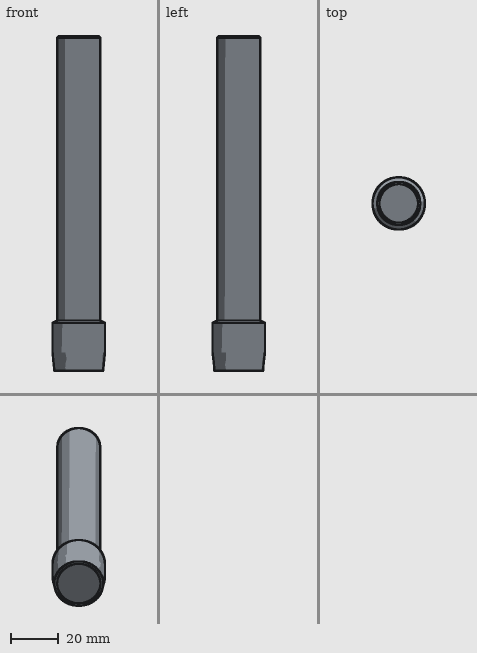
import cadquery as cq

total_length = 140.0
pin_diameter = 18.0
pin_chamfer_width = 1.0
pin_chamfer_height = 0.8
sleeve_diameter = 22.0
sleeve_tip_diameter = 20.5
sleeve_height = 21.1
sleeve_bevel_height = 1.1
sleeve_lead_height = 7.5

pin_radius = pin_diameter / 2
sleeve_radius = sleeve_diameter / 2
sleeve_tip_radius = sleeve_tip_diameter / 2


def make_pin():
    """Round pin, standing on Z = 0, with a chamfered top rim."""
    return (
        cq.Workplane("XZ")
        .lineTo(pin_radius, 0)
        .lineTo(pin_radius, total_length - pin_chamfer_height)
        .lineTo(pin_radius - pin_chamfer_width, total_length)
        .lineTo(0, total_length)
        .close()
        .revolve(360, (0, 0), (0, 1))
    )


def make_sleeve():
    """Sleeve around the pin foot, with a tapered lead-in below and a bevelled top."""
    return (
        cq.Workplane("XZ")
        .moveTo(pin_radius, 0)
        .lineTo(sleeve_tip_radius, 0)
        .lineTo(sleeve_radius, sleeve_lead_height)
        .lineTo(sleeve_radius, sleeve_height - sleeve_bevel_height)
        .lineTo(pin_radius, sleeve_height)
        .close()
        .revolve(360, (0, 0), (0, 1))
    )


pin = make_pin()
sleeve = make_sleeve()
result = cq.Compound.makeCompound([pin.val(), sleeve.val()])